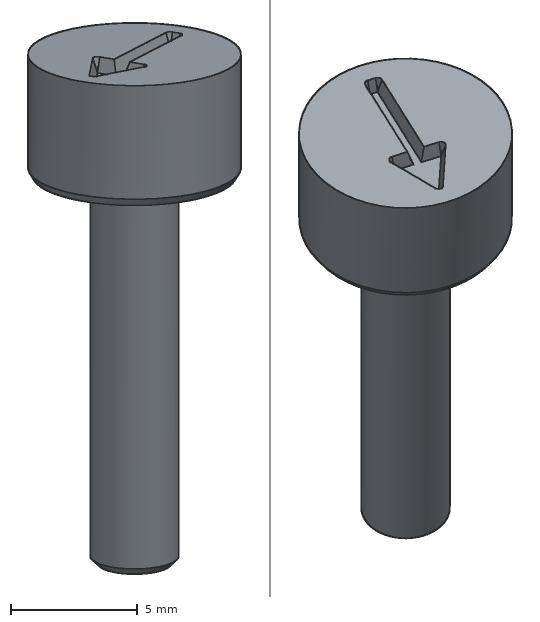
import cadquery as cq
import math

total_height = 21.0
head_diameter = 8.4
head_height = 5.0
shank_diameter = 3.5
shank_length = total_height - head_height

head_chamfer_width = 0.19
head_chamfer_height = 0.32
tip_chamfer = 0.32
neck_chamfer_width = 0.08
neck_chamfer_height = 0.13

arrow_depth = 0.6
arrow_wall_spread = 0.19
arrow_stem_width = 0.34
arrow_tail_y = 3.13
arrow_barb_y = -1.18
arrow_barb_width = 2.02
arrow_tip_y = -3.21


def make_body():
    """Revolve the half profile of head and shank about Z."""
    head_radius = head_diameter / 2
    shank_radius = shank_diameter / 2
    neck_radius = shank_radius - neck_chamfer_width
    profile = [
        (0, 0),
        (shank_radius - tip_chamfer, 0),
        (shank_radius, tip_chamfer),
        (shank_radius, shank_length - neck_chamfer_height),
        (neck_radius, shank_length),
        (head_radius - head_chamfer_width, shank_length),
        (head_radius, shank_length + head_chamfer_height),
        (head_radius, total_height),
        (0, total_height),
    ]
    return cq.Workplane("XZ").polyline(profile).close().revolve(360, (0, 0), (0, 1))


def make_arrow_cutter():
    """Arrow that widens from its floor up to the head face."""
    stem = arrow_stem_width / 2
    barb = arrow_barb_width / 2
    outline = [
        (-stem, arrow_tail_y),
        (-stem, arrow_barb_y),
        (-barb, arrow_barb_y),
        (0, arrow_tip_y),
        (barb, arrow_barb_y),
        (stem, arrow_barb_y),
        (stem, arrow_tail_y),
    ]
    wall_angle = math.degrees(math.atan(arrow_wall_spread / arrow_depth))
    return (
        cq.Workplane("XY")
        .workplane(offset=total_height - arrow_depth)
        .polyline(outline)
        .close()
        .extrude(arrow_depth, taper=-wall_angle)
    )


result = make_body().cut(make_arrow_cutter())